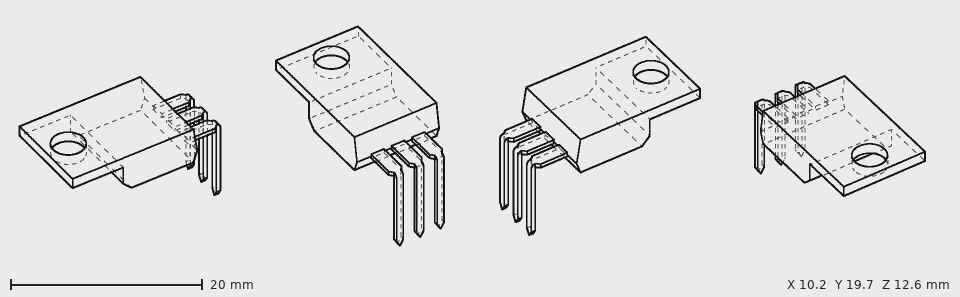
import cadquery as cq


width = 10.25
total_length = 19.74
total_height = 12.59

body_height = 4.48
body_length = 9.19
back_draft = 0.49
front_chamfer = 1.0

tab_length = 6.3
tab_thickness = 1.27
hole_diameter = 3.73
hole_edge_distance = 2.76

lead_count = 3
lead_pitch = 2.54
lead_thickness = 0.5
lead_top_z = -2.82
lead_wide_width = 1.6
lead_narrow_width = 0.86
lead_shoulder_length = 0.42
lead_tip_height = 0.72
lead_embed = 1.0

tab_end_y = -total_length
body_front_y = tab_end_y + tab_length
body_back_y = body_front_y + body_length
body_edge_y = body_back_y - back_draft
lead_bottom_z = lead_top_z - lead_thickness
ridge_z = lead_top_z - lead_thickness / 2


def make_body():
    """Side profile extruded over the full width, with a ridged back and a chamfered lower front."""
    profile = (
        cq.Workplane("YZ")
        .moveTo(body_front_y, 0)
        .lineTo(body_edge_y, 0)
        .lineTo(body_back_y, ridge_z)
        .lineTo(body_edge_y, -body_height)
        .lineTo(body_front_y + front_chamfer, -body_height)
        .lineTo(body_front_y, -body_height + front_chamfer)
        .close()
    )
    return profile.extrude(width / 2, both=True)


def make_tab():
    """Flat tab, flush with the body top, with a through mounting hole."""
    plate = cq.Workplane("XY").box(width, tab_length, tab_thickness, centered=(True, False, False))
    plate = plate.translate((0, tab_end_y, -tab_thickness))
    hole = (
        cq.Workplane("XY")
        .center(0, tab_end_y + hole_edge_distance)
        .circle(hole_diameter / 2)
        .extrude(-tab_thickness)
    )
    return plate.cut(hole)


def make_lead():
    """One lead: wide horizontal blade, rounded bend and narrow pointed leg."""
    blade_end_y = -lead_thickness
    shoulder_y = blade_end_y - lead_shoulder_length
    half_wide = lead_wide_width / 2
    half_narrow = lead_narrow_width / 2

    blade = (
        cq.Workplane("XY", origin=(0, 0, lead_bottom_z))
        .moveTo(-half_wide, body_back_y - lead_embed)
        .lineTo(half_wide, body_back_y - lead_embed)
        .lineTo(half_wide, shoulder_y)
        .lineTo(half_narrow, blade_end_y)
        .lineTo(-half_narrow, blade_end_y)
        .lineTo(-half_wide, shoulder_y)
        .close()
        .extrude(lead_thickness)
    )
    bend = (
        cq.Workplane("YZ")
        .moveTo(blade_end_y, lead_bottom_z)
        .lineTo(0, lead_bottom_z)
        .radiusArc((blade_end_y, lead_top_z), -lead_thickness)
        .close()
        .extrude(half_narrow, both=True)
    )
    leg = (
        cq.Workplane("XZ")
        .moveTo(-half_narrow, lead_bottom_z)
        .lineTo(half_narrow, lead_bottom_z)
        .lineTo(half_narrow, -total_height + lead_tip_height)
        .lineTo(0, -total_height)
        .lineTo(-half_narrow, -total_height + lead_tip_height)
        .close()
        .extrude(lead_thickness)
    )
    return blade.union(bend).union(leg)


result = make_body().union(make_tab())
for index in range(lead_count):
    lead_x = (index - (lead_count - 1) / 2) * lead_pitch
    result = result.union(make_lead().translate((lead_x, 0, 0)))